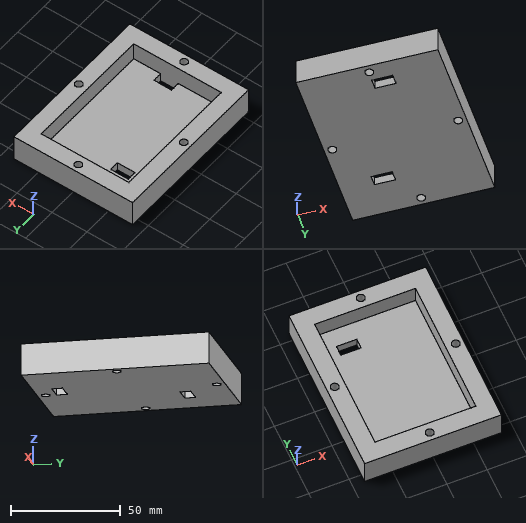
import cadquery as cq

width = 68.0
length = 88.0
height = 15.0

rim = 9.0
pocket_depth = 10.0
pocket_width = width - 2 * rim
pocket_length = length - 2 * rim

hole_diameter = 4.0
hole_edge_distance = 4.0

window_width = 10.0
window_length = 5.0
back_window_side_gap = 7.0
back_window_end_gap = 9.0
front_window_side_gap = 24.6


def make_block():
    return cq.Workplane("XY").box(width, length, height, centered=(True, True, False))


def cut_pocket(body):
    return body.faces(">Z").workplane().rect(pocket_width, pocket_length).cutBlind(-pocket_depth)


def cut_screw_holes(body):
    side_x = width / 2 - hole_edge_distance
    end_y = length / 2 - hole_edge_distance
    centers = [(side_x, 0), (-side_x, 0), (0, end_y), (0, -end_y)]
    holes = cq.Workplane("XY").pushPoints(centers).circle(hole_diameter / 2).extrude(height)
    return body.cut(holes)


def cut_window(body, left, front):
    """Cut a floor window whose front-left corner is at (left, front)."""
    window = cq.Workplane("XY").box(window_width, window_length, height, centered=False)
    return body.cut(window.translate((left, front, 0)))


pocket_left = -pocket_width / 2
pocket_front = -pocket_length / 2
back_window_front = pocket_length / 2 - back_window_end_gap - window_length

result = cut_screw_holes(cut_pocket(make_block()))
result = cut_window(result, pocket_left + back_window_side_gap, back_window_front)
result = cut_window(result, pocket_left + front_window_side_gap, pocket_front)